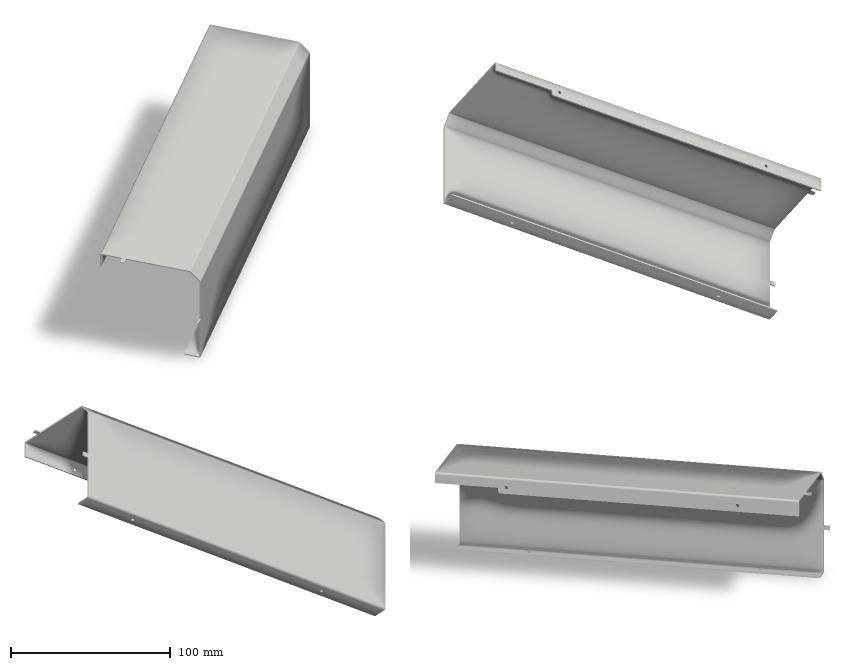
import cadquery as cq
import math

width = 66.0
length = 239.0
height = 69.0

thickness = 1.0
bend_outer_radius = 1.5
bend_inner_radius = bend_outer_radius - thickness
bevel = 7.0
lip_depth = 10.5
flange_width = 11.0

relief_length = 40.6
relief_lip_depth = 7.0
relief_corner_radius = 2.0

tab_length = 4.0
tab_width = 2.9
top_tab_from_left = 15.8
side_tab_from_top = 39.0

hole_diameter = 2.5
lip_hole_drop = 6.5
flange_hole_inset = 6.0
hole_from_back = 46.1
hole_spacing = 149.1

left = -width / 2
right = width / 2
bottom = -height / 2
top = height / 2
back = length / 2
front = -length / 2 + tab_length
body_length = back - front
hole_positions_y = [back - hole_from_back, back - hole_from_back - hole_spacing]


def folded_sheet():
    """Constant cross-section of the folded sheet, rounded at every bend."""
    bevel_shift = thickness * math.tan(math.pi / 8)
    outer = [
        (left, top - lip_depth),
        (left, top),
        (right - bevel, top),
        (right, top - bevel),
        (right, bottom),
        (right - flange_width, bottom),
    ]
    inner = [
        (right - flange_width, bottom + thickness),
        (right - thickness, bottom + thickness),
        (right - thickness, top - bevel - bevel_shift),
        (right - bevel - bevel_shift, top - thickness),
        (left + thickness, top - thickness),
        (left + thickness, top - lip_depth),
    ]
    sheet = (
        cq.Workplane("XZ", origin=(0, back, 0))
        .polyline(outer + inner)
        .close()
        .extrude(body_length)
    )
    middle_y = (front + back) / 2
    bends = [(point, bend_outer_radius) for point in outer[1:-1]]
    bends += [(point, bend_inner_radius) for point in inner[1:-1]]
    for (x, z), radius in bends:
        edge = cq.selectors.NearestToPointSelector((x, middle_y, z))
        sheet = sheet.edges("|Y").edges(edge).fillet(radius)
    return sheet


def lip_relief():
    """Block that shortens the lip at the +Y end."""
    relief_depth = lip_depth - relief_lip_depth
    return (
        cq.Workplane("XY")
        .box(thickness, relief_length, relief_depth, centered=False)
        .translate((left, back - relief_length, top - lip_depth))
    )


def end_tab(x_size, z_size, x_min, z_min):
    """Flat tab standing out from the -Y end of the sheet."""
    return (
        cq.Workplane("XY")
        .box(x_size, tab_length, z_size, centered=False)
        .translate((x_min, front - tab_length, z_min))
    )


def screw_hole(start, direction):
    """Cutter that passes through one sheet thickness."""
    cutter = cq.Solid.makeCylinder(
        hole_diameter / 2, thickness, cq.Vector(*start), cq.Vector(*direction)
    )
    return cq.Workplane(cutter)


result = folded_sheet().cut(lip_relief())

lip_corner = cq.selectors.NearestToPointSelector(
    (left + thickness / 2, back - relief_length, top - lip_depth)
)
result = result.edges("|X").edges(lip_corner).fillet(relief_corner_radius)

result = result.union(
    end_tab(tab_width, thickness, left + top_tab_from_left - tab_width / 2, top - thickness)
)
result = result.union(
    end_tab(thickness, tab_width, right - thickness, top - side_tab_from_top - tab_width / 2)
)

for y in hole_positions_y:
    result = result.cut(screw_hole((left, y, top - lip_hole_drop), (1, 0, 0)))
    result = result.cut(screw_hole((right - flange_hole_inset, y, bottom), (0, 0, 1)))